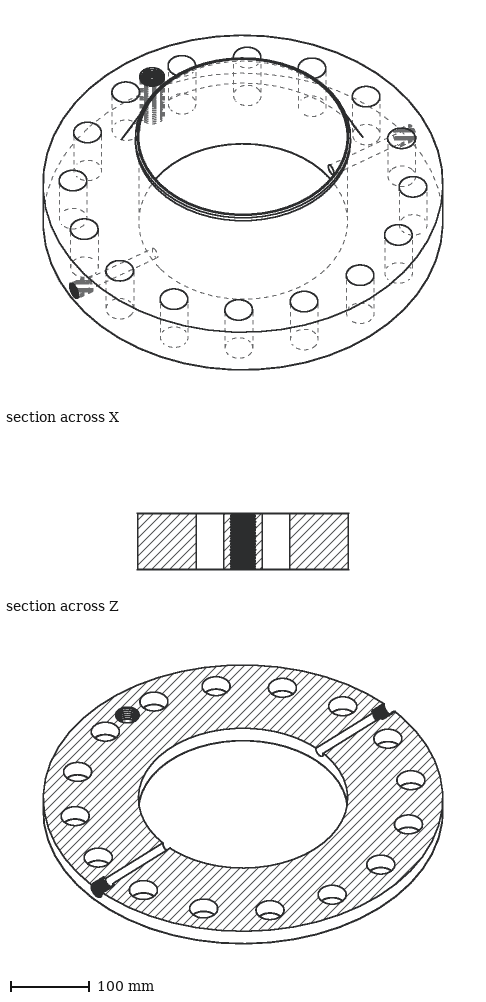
import cadquery as cq
import math

flange_diameter = 508.0
flange_radius = flange_diameter / 2
flange_thickness = 71.5

total_height = 160.5
bore_radius = 132.5
neck_outer_radius = 136.5
neck_straight_height = 7.5
hub_base_radius = 171.5
hub_fillet_radius = 3.0
bevel_width = 2.5
bevel_height = 2.0

bolt_count = 16
bolt_circle_radius = 216.0
bolt_hole_diameter = 35.0
bolt_pitch_angle = 360 / bolt_count

jack_minor_radius = 13.5
jack_thread_depth = 2.0
jack_thread_pitch = 3.5

tap_height = 19.5
tap_passage_radius = 6.5
tap_minor_radius = 9.0
tap_thread_depth = 1.5
tap_thread_pitch = 1.85
tap_thread_count = 12


def flange_body():
    """Flange, conical hub and bevelled neck turned as one ring."""
    straight_base = total_height - neck_straight_height
    body = (
        cq.Workplane("XZ")
        .moveTo(bore_radius, 0)
        .lineTo(flange_radius, 0)
        .lineTo(flange_radius, flange_thickness)
        .lineTo(hub_base_radius, flange_thickness)
        .lineTo(neck_outer_radius, straight_base)
        .lineTo(neck_outer_radius, total_height - bevel_height)
        .lineTo(neck_outer_radius - bevel_width, total_height)
        .lineTo(bore_radius, total_height)
        .close()
        .revolve(360, (0, 0, 0), (0, 1, 0))
    )
    second_largest = cq.selectors.RadiusNthSelector(-2)
    return body.faces("|Z").edges(second_largest).fillet(hub_fillet_radius)


def bolt_holes():
    """Cutters for the ring of plain through holes."""
    return (
        cq.Workplane("XY")
        .polarArray(bolt_circle_radius, bolt_pitch_angle / 2, 360, bolt_count)
        .circle(bolt_hole_diameter / 2)
        .extrude(flange_thickness)
    )


def threaded_cutter(minor_radius, depth, pitch, turns):
    """Cutter for a hole with ring-shaped V threads, running from Z = 0 downwards."""
    outline = cq.Workplane("XZ").lineTo(minor_radius + depth, 0)
    for turn in range(turns):
        crest = -(turn + 0.5) * pitch
        root = -(turn + 1) * pitch
        outline = outline.lineTo(minor_radius, crest)
        outline = outline.lineTo(minor_radius + depth, root)
    return outline.lineTo(0, -turns * pitch).close().revolve(360, (0, 0, 0), (0, 1, 0))


def jack_screw_hole():
    """Cutter threaded through the whole flange thickness."""
    turns = math.ceil(flange_thickness / jack_thread_pitch)
    cutter = threaded_cutter(jack_minor_radius, jack_thread_depth, jack_thread_pitch, turns)
    return cutter.translate((-bolt_circle_radius, 0, flange_thickness))


def pressure_tap():
    """Cutter for a radial tap entering from the -Y side and opening into the bore."""
    passage = cq.Workplane("XZ").circle(tap_passage_radius).extrude(flange_radius)
    mouth = threaded_cutter(tap_minor_radius, tap_thread_depth, tap_thread_pitch, tap_thread_count)
    mouth = mouth.rotate((0, 0, 0), (1, 0, 0), 90).translate((0, -flange_radius, 0))
    return passage.union(mouth).translate((0, 0, tap_height))


result = flange_body().cut(bolt_holes()).cut(jack_screw_hole())
for side_angle in (0, 180):
    tap = pressure_tap().rotate((0, 0, 0), (0, 0, 1), side_angle)
    result = result.cut(tap)